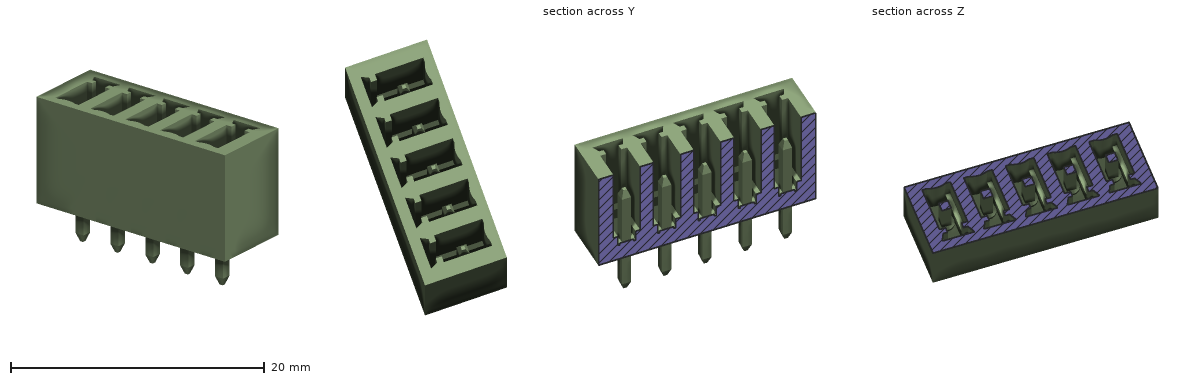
import cadquery as cq


housing_length = 18.9
housing_depth = 6.86
housing_height = 9.17
front_y = -2.8

pin_count = 5
pin_pitch = 3.5
pin_size = 0.81
pin_tip_size = 0.3
pin_taper_length = 0.72
pin_reach_below = 3.53
pin_recess = 2.27
pin_top_z = housing_height - pin_recess

pocket_width = 2.32
pocket_front_y = front_y + 0.77
pocket_back_y = front_y + 4.82
neck_width = 1.3
neck_back_y = front_y + 5.33
dovetail_back_y = front_y + 5.95
dovetail_front_width = 2.05
dovetail_back_width = 2.66
rib_rise = 0.17

floor_z = 1.51
channel_width = 1.53
ledge_height = 0.95
ledge_z = floor_z + ledge_height
dovetail_floor_z = ledge_z
collar_diameter = 1.55
collar_height = 0.19

pin_x_positions = [(i - (pin_count - 1) / 2) * pin_pitch for i in range(pin_count)]


def make_housing():
    return (
        cq.Workplane("XY")
        .box(housing_length, housing_depth, housing_height, centered=(True, False, False))
        .translate((0, front_y, 0))
    )


def make_slot(width, start_y, end_y, bottom_z):
    """Straight-sided space centred on X = 0, open at the top of the housing."""
    return (
        cq.Workplane("XY")
        .box(width, end_y - start_y, housing_height - bottom_z, centered=(True, False, False))
        .translate((0, start_y, bottom_z))
    )


def make_dovetail():
    """Keyway at the rear of the pocket that widens towards the back wall."""
    return (
        cq.Workplane("XY", origin=(0, 0, dovetail_floor_z))
        .moveTo(-dovetail_front_width / 2, neck_back_y)
        .lineTo(dovetail_front_width / 2, neck_back_y)
        .lineTo(dovetail_back_width / 2, dovetail_back_y)
        .lineTo(-dovetail_back_width / 2, dovetail_back_y)
        .close()
        .extrude(housing_height - dovetail_floor_z)
    )


def make_front_rib():
    """Full-height curved rib on the front wall of the pocket."""
    return (
        cq.Workplane("XY", origin=(0, 0, floor_z))
        .moveTo(-channel_width / 2, pocket_front_y)
        .threePointArc((0, pocket_front_y + rib_rise), (channel_width / 2, pocket_front_y))
        .close()
        .extrude(housing_height - floor_z)
    )


def make_pocket():
    upper_space = make_slot(pocket_width, pocket_front_y, pocket_back_y, ledge_z)
    channel = make_slot(channel_width, pocket_front_y, pocket_back_y, floor_z)
    neck = make_slot(neck_width, pocket_front_y, neck_back_y, floor_z)
    collar = cq.Workplane("XY", origin=(0, 0, floor_z)).circle(collar_diameter / 2).extrude(collar_height)
    space = upper_space.union(channel).union(neck).union(make_dovetail())
    return space.cut(make_front_rib()).cut(collar)


def make_pin():
    """Square pin with a blunt pyramid at both ends."""
    shank_bottom_z = pin_taper_length - pin_reach_below
    shank_top_z = pin_top_z - pin_taper_length
    shank_length = shank_top_z - shank_bottom_z
    shank = (
        cq.Workplane("XY", origin=(0, 0, shank_bottom_z))
        .rect(pin_size, pin_size)
        .extrude(shank_length)
    )

    def tip_at(shank_face):
        return (
            shank.faces(shank_face)
            .workplane()
            .rect(pin_size, pin_size)
            .workplane(offset=pin_taper_length)
            .rect(pin_tip_size, pin_tip_size)
            .loft(combine=False)
        )

    return shank.union(tip_at(">Z")).union(tip_at("<Z"))


pocket = make_pocket()
pin = make_pin()
result = make_housing()
for x in pin_x_positions:
    result = result.cut(pocket.translate((x, 0, 0)))
    result = result.union(pin.translate((x, 0, 0)))